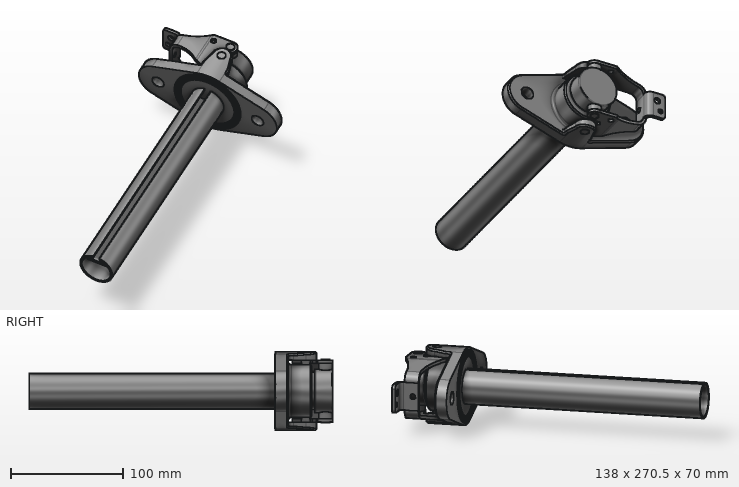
import cadquery as cq
import math


flange_width = 70.0
body_radius = flange_width / 2
flange_half_length = 69.0
bolt_offset = 49.8
lobe_radius = flange_half_length - bolt_offset
bolt_hole_radius = 6.0
flange_thickness = 11.4
rear_edge_chamfer = 1.4

ridge_outer_radius = 33.0
ridge_pitch = 2.5
ridge_width = 1.4
ridge_height = 0.8
ridge_count = 3

overall_length = 270.5
rear_y = 51.0
tube_end_y = rear_y - overall_length
tube_diameter = 32.2
tube_radius = tube_diameter / 2
tube_bore_radius = 14.3
slot_width = 6.0
blade_width = 25.7
blade_thickness = 2.5
blade_recess = 7.5

cup_radius = 23.5
cup_top_y = 32.5
cup_edge_chamfer = 1.4
cup_base_fillet = 2.7
neck_radius = 16.8
cap_radius = 19.5
cap_bottom_y = 35.0
cap_edge_fillet = 0.8

lever_half_width = 27.5
ear_inner_z = lever_half_width
ear_tip_radius = 9.7
ear_base_half_width = 12.7
ear_base_y = 16.0
ear_fillet = 1.4
ear_pin_y = 27.0
ear_pin_half_length = 34.5
cap_pin_y = 44.5
cap_pin_half_length = 28.5
cap_boss_radius = 6.2
pin_diameter = 7.8
pin_radius = pin_diameter / 2

sheet = 3.0
web_x = -53.5
web_corner_z = 19.7
web_bend_radius = 9.7
side_bend_x = -21.0
side_bend_radius = 8.0
web_bottom_y = 30.0
web_top_y = 43.0
neck_start_x = -46.0
neck_end_x = -22.2
neck_upper_middle = (-35.2, 44.4)
neck_lower_middle = (-31.0, 25.5)
neck_end_top_y = 49.2
neck_end_bottom_y = 18.7
shoulder_x = -19.5
heel_x = -14.3
heel_y = 15.0
side_edge_x = -9.2
side_lip_y = 37.3
pivot_lug_radius = rear_y - cap_pin_y
stop_notch_y = 34.5
stop_notch_radius = 2.0
side_hole_x = -16.8
side_hole_radius = 2.5
web_hole_y = 35.2
web_hole_radius = 2.5

tab_half_width = 12.7
tab_back_y = 50.3
tab_bend_radius = 6.2
tab_corner_radius = 3.2
tab_holes = [(-60.9, 4.5, 3.0), (-64.0, -5.7, 2.2)]

tolerance = 0.003


def cylinder_y(radius, y_start, y_end, x=0, z=0):
    plane = cq.Plane(origin=(x, y_start, z), xDir=(1, 0, 0), normal=(0, 1, 0))
    return cq.Workplane(plane).circle(radius).extrude(y_end - y_start)


def cylinder_z(radius, half_length, x, y):
    return cq.Workplane("XY").center(x, y).circle(radius).extrude(half_length, both=True)


def block(x_range, y_range, z_range):
    sizes = [high - low for low, high in (x_range, y_range, z_range)]
    corner = (x_range[0], y_range[0], z_range[0])
    return cq.Workplane("XY").box(*sizes, centered=False).translate(corner)


def flange_prism(height):
    sine = (body_radius - lobe_radius) / bolt_offset
    cosine = math.sqrt(1 - sine**2)
    body_x, body_z = body_radius * sine, body_radius * cosine
    lobe_x, lobe_z = bolt_offset + lobe_radius * sine, lobe_radius * cosine
    return (
        cq.Workplane("XZ")
        .moveTo(-body_x, body_z)
        .threePointArc((0, body_radius), (body_x, body_z))
        .lineTo(lobe_x, lobe_z)
        .threePointArc((flange_half_length, 0), (lobe_x, -lobe_z))
        .lineTo(body_x, -body_z)
        .threePointArc((0, -body_radius), (-body_x, -body_z))
        .lineTo(-lobe_x, -lobe_z)
        .threePointArc((-flange_half_length, 0), (-lobe_x, lobe_z))
        .close()
        .extrude(-height)
    )


def make_ears():
    base_y = flange_thickness
    foot_x = ear_base_half_width + ear_fillet
    diagonal = ear_fillet * (1 - math.sqrt(0.5))
    ears = (
        cq.Workplane("XY")
        .workplane(offset=-body_radius)
        .moveTo(-foot_x, base_y)
        .threePointArc(
            (-ear_base_half_width - diagonal, base_y + diagonal),
            (-ear_base_half_width, base_y + ear_fillet),
        )
        .lineTo(-ear_base_half_width, ear_base_y)
        .lineTo(-ear_tip_radius, ear_pin_y)
        .threePointArc((0, ear_pin_y + ear_tip_radius), (ear_tip_radius, ear_pin_y))
        .lineTo(ear_base_half_width, ear_base_y)
        .lineTo(ear_base_half_width, base_y + ear_fillet)
        .threePointArc(
            (ear_base_half_width + diagonal, base_y + diagonal),
            (foot_x, base_y),
        )
        .lineTo(foot_x, 0)
        .lineTo(-foot_x, 0)
        .close()
        .extrude(2 * body_radius)
        .intersect(flange_prism(rear_y))
    )
    return ears.cut(block((-body_radius, body_radius), (0, rear_y), (-ear_inner_z, ear_inner_z)))


def make_flange():
    rim_wall = cq.Compound.makeCompound(flange_prism(rear_y).faces("not |Y").vals())

    def on_rear_rim(edge):
        middle = edge.positionAt(0.5)
        on_wall = cq.Vertex.makeVertex(*middle.toTuple()).distance(rim_wall) < tolerance
        return on_wall and middle.y > flange_thickness - tolerance

    flange = flange_prism(flange_thickness)
    flange = flange.union(make_ears())
    flange = flange.edges().filter(on_rear_rim).chamfer(rear_edge_chamfer)
    flange = flange.cut(cylinder_z(pin_radius, body_radius, 0, ear_pin_y))
    for x in (-bolt_offset, bolt_offset):
        flange = flange.cut(cylinder_y(bolt_hole_radius, 0, flange_thickness, x))
    for index in range(ridge_count):
        outer = ridge_outer_radius - index * ridge_pitch
        ridge = cylinder_y(outer, -ridge_height, 0).cut(cylinder_y(outer - ridge_width, -ridge_height, 0))
        flange = flange.union(ridge)
    return flange


def make_tube():
    tube = cylinder_y(tube_radius, tube_end_y, 0).cut(cylinder_y(tube_bore_radius, tube_end_y, 0))
    slot_half = slot_width / 2
    slot = block((-slot_half, slot_half), (tube_end_y, 0), (0, tube_radius))
    blade = block(
        (-blade_width / 2, blade_width / 2),
        (tube_end_y + blade_recess, 0),
        (-blade_thickness / 2, blade_thickness / 2),
    )
    return tube.cut(slot).union(blade)


def make_housing():
    base_y = flange_thickness
    diagonal = cup_base_fillet * (1 - math.sqrt(0.5))
    cup = (
        cq.Workplane("XY")
        .moveTo(0, base_y)
        .lineTo(cup_radius + cup_base_fillet, base_y)
        .threePointArc(
            (cup_radius + diagonal, base_y + diagonal),
            (cup_radius, base_y + cup_base_fillet),
        )
        .lineTo(cup_radius, cup_top_y - cup_edge_chamfer)
        .lineTo(cup_radius - cup_edge_chamfer, cup_top_y)
        .lineTo(0, cup_top_y)
        .close()
        .revolve(360, (0, 0, 0), (0, 1, 0))
    )
    neck = cylinder_y(neck_radius, cup_top_y, cap_bottom_y)
    cap = cylinder_y(cap_radius, cap_bottom_y, rear_y).edges().fillet(cap_edge_fillet)
    return cup.union(neck).union(cap)


def make_strap():
    open_end_x = pivot_lug_radius
    bent_sheet = (
        cq.Workplane("XZ")
        .polyline(
            [
                (open_end_x, lever_half_width),
                (side_bend_x, lever_half_width),
                (web_x, web_corner_z),
                (web_x, -web_corner_z),
                (side_bend_x, -lever_half_width),
                (open_end_x, -lever_half_width),
            ]
        )
        .close()
        .extrude(-rear_y)
    )
    bent_sheet = bent_sheet.edges("|Y and <X").fillet(web_bend_radius)
    side_bends = cq.selectors.BoxSelector(
        (side_bend_x - 2.7, -2.7, -body_radius), (side_bend_x + 2.7, rear_y + 2.7, body_radius)
    )
    bent_sheet = bent_sheet.edges("|Y").edges(side_bends).fillet(side_bend_radius)
    bent_sheet = bent_sheet.faces("<Y or >Y or >X").shell(-sheet)

    side_outline = (
        cq.Workplane("XY")
        .workplane(offset=-lever_half_width)
        .moveTo(web_x, web_bottom_y)
        .lineTo(web_x, web_top_y)
        .lineTo(neck_start_x, web_top_y)
        .threePointArc(neck_upper_middle, (neck_end_x, neck_end_top_y))
        .lineTo(shoulder_x, rear_y)
        .lineTo(0, rear_y)
        .threePointArc((pivot_lug_radius, cap_pin_y), (0, cap_pin_y - pivot_lug_radius))
        .lineTo(side_edge_x, side_lip_y)
        .lineTo(side_edge_x, heel_y)
        .lineTo(heel_x, heel_y)
        .lineTo(neck_end_x, neck_end_bottom_y)
        .threePointArc(neck_lower_middle, (neck_start_x, web_bottom_y))
        .close()
        .extrude(2 * lever_half_width)
    )
    strap = bent_sheet.intersect(side_outline)
    strap = strap.cut(cylinder_z(stop_notch_radius, lever_half_width, side_edge_x, stop_notch_y))
    return strap.cut(cylinder_z(side_hole_radius, lever_half_width, side_hole_x, cap_pin_y))


def make_tab():
    inner_radius = tab_bend_radius - sheet
    bend_x = web_x - inner_radius
    bend_y = tab_back_y - tab_bend_radius
    diagonal = math.sqrt(0.5)
    tab = (
        cq.Workplane("XY")
        .workplane(offset=-tab_half_width)
        .moveTo(-flange_half_length, tab_back_y)
        .lineTo(bend_x, tab_back_y)
        .threePointArc(
            (bend_x + tab_bend_radius * diagonal, bend_y + tab_bend_radius * diagonal),
            (bend_x + tab_bend_radius, bend_y),
        )
        .lineTo(web_x + sheet, web_bottom_y)
        .lineTo(web_x, web_bottom_y)
        .lineTo(web_x, bend_y)
        .threePointArc(
            (bend_x + inner_radius * diagonal, bend_y + inner_radius * diagonal),
            (bend_x, tab_back_y - sheet),
        )
        .lineTo(-flange_half_length, tab_back_y - sheet)
        .close()
        .extrude(2 * tab_half_width)
    )
    tab = tab.edges("|Y and <X").fillet(tab_corner_radius)
    for x, z, radius in tab_holes:
        tab = tab.cut(cylinder_y(radius, web_top_y, rear_y, x, z))
    return tab


def make_lever():
    lever = make_strap().union(make_tab())
    web_hole = (
        cq.Workplane("YZ", origin=(web_x, web_hole_y, 0)).circle(web_hole_radius).extrude(sheet)
    )
    return lever.cut(web_hole)


ear_pin = cylinder_z(pin_radius, ear_pin_half_length, 0, ear_pin_y)
cap_boss = cylinder_z(cap_boss_radius, lever_half_width - sheet, 0, cap_pin_y)
cap_pin = cylinder_z(pin_radius, cap_pin_half_length, 0, cap_pin_y)

result = (
    make_flange()
    .union(make_tube())
    .union(make_housing())
    .union(make_lever())
    .union(ear_pin)
    .union(cap_boss)
    .union(cap_pin)
)